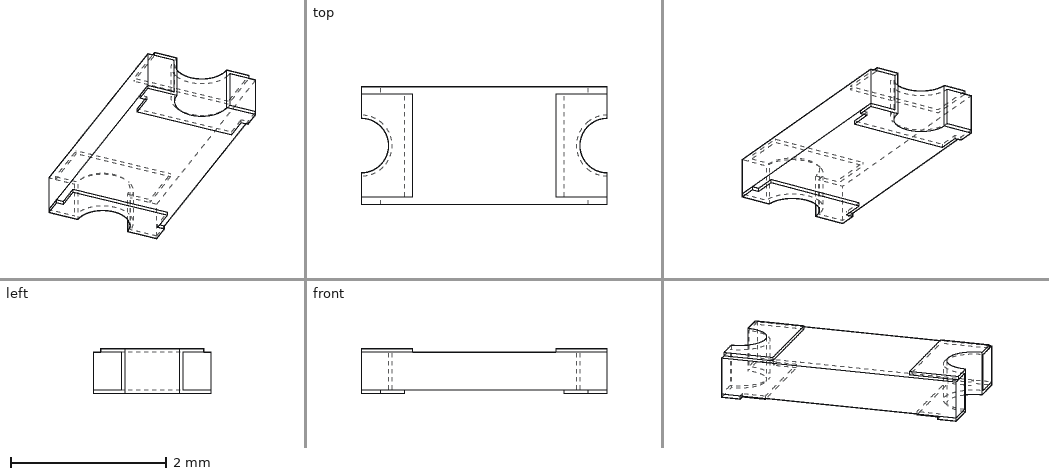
import cadquery as cq


length = 3.17
width = 1.52
height = 0.58

plating = 0.045
notch_radius = 0.35

top_pad_length = 0.66
top_pad_inset = 0.095
top_pad_width = width - 2 * top_pad_inset

bottom_pad_length = 0.56
bottom_strip_length = 0.25
bottom_pad_width = top_pad_width

substrate_notch_radius = notch_radius + plating
substrate_height = height - 2 * plating
substrate_bottom = plating
substrate_top = substrate_bottom + substrate_height
end_x = length / 2


def end_pad(pad_length, pad_width, bottom):
    """Flat plate of plating thickness that starts at the -X end of the package."""
    return (
        cq.Workplane("XY", origin=(-end_x, 0, bottom))
        .box(pad_length, pad_width, plating, centered=(False, True, False))
    )


def end_cylinder(x, radius, bottom, cylinder_height):
    """Upright cylinder centred on the middle of an end face."""
    return cq.Workplane("XY", origin=(x, 0, bottom)).circle(radius).extrude(cylinder_height)


def make_substrate():
    """Plain block with a half-round notch through each end."""
    block = (
        cq.Workplane("XY", origin=(0, 0, substrate_bottom))
        .box(length, width, substrate_height, centered=(True, True, False))
    )
    for x in (-end_x, end_x):
        block = block.cut(end_cylinder(x, substrate_notch_radius, substrate_bottom, substrate_height))
    return block


def make_terminal():
    """Terminal of the -X end: top and bottom pads joined by the notch lining."""
    top_pad = end_pad(top_pad_length, top_pad_width, substrate_top)
    bottom_strip = end_pad(bottom_strip_length, width, 0)
    bottom_pad = end_pad(bottom_pad_length, bottom_pad_width, 0)
    inner_half = (
        cq.Workplane("XY", origin=(-end_x, 0, 0))
        .box(length, width, height, centered=(False, True, False))
    )
    lining = end_cylinder(-end_x, substrate_notch_radius, 0, height).intersect(inner_half)
    metal = lining.union(top_pad).union(bottom_strip).union(bottom_pad)
    return metal.cut(end_cylinder(-end_x, notch_radius, 0, height))


substrate = make_substrate()

terminals = []
for angle in (0, 180):
    terminal = make_terminal().rotate((0, 0, 0), (0, 0, 1), angle)
    terminals.append(terminal.val())

result = cq.Compound.makeCompound([substrate.val(), *terminals])